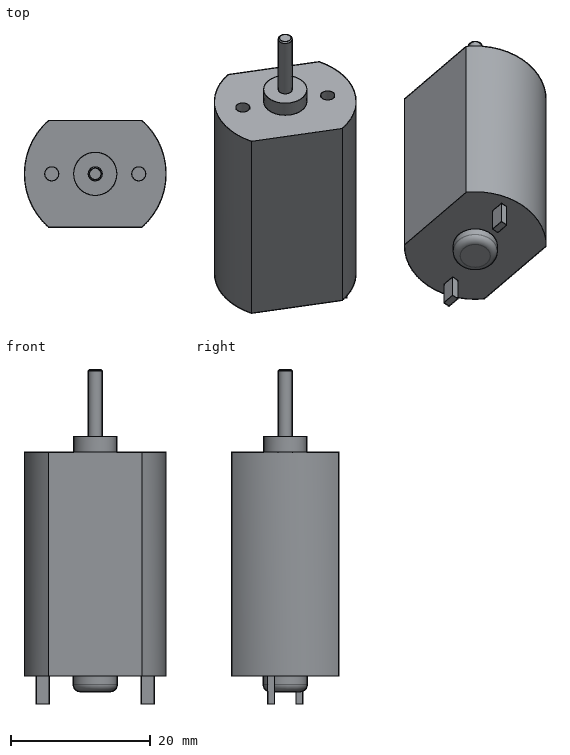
import cadquery as cq

terminal_length = 4.0
can_height = 32.0
boss_height = 2.25
total_height = 47.85
can_bottom = terminal_length
can_top = can_bottom + can_height
shaft_bottom = can_top + boss_height
shaft_length = total_height - shaft_bottom

can_diameter = 20.3
width_across_flats = 15.3

front_boss_diameter = 6.15
rear_boss_diameter = 6.3
rear_boss_fillet = 1.0

mount_hole_diameter = 2.0
mount_hole_offset = 6.2
mount_hole_depth = 2.0

shaft_diameter = 2.0
shaft_chamfer = 0.2

terminal_width = 1.9
terminal_thickness = 1.0
terminal_x = 7.5
terminal_y = 2.0


def cylinder(diameter, height, bottom):
    """Cylinder on the Z axis standing at the given height."""
    return cq.Workplane("XY").workplane(offset=bottom).circle(diameter / 2).extrude(height)


def make_housing():
    """Can with a plain front boss, a rounded rear boss and two mounting holes."""
    flats = (
        cq.Workplane("XY")
        .workplane(offset=can_bottom)
        .rect(can_diameter, width_across_flats)
        .extrude(can_height)
    )
    can = cylinder(can_diameter, can_height, can_bottom).intersect(flats)

    front_boss = cylinder(front_boss_diameter, boss_height, can_top)
    rear_boss = cylinder(rear_boss_diameter, boss_height, can_bottom - boss_height)
    rear_boss = rear_boss.faces("<Z").edges().fillet(rear_boss_fillet)

    mount_holes = (
        cq.Workplane("XY")
        .workplane(offset=can_top)
        .pushPoints([(-mount_hole_offset, 0), (mount_hole_offset, 0)])
        .circle(mount_hole_diameter / 2)
        .extrude(-mount_hole_depth)
    )
    return can.union(front_boss).union(rear_boss).cut(mount_holes)


def make_shaft():
    """Shaft standing on the front boss, chamfered at its tip."""
    shaft = cylinder(shaft_diameter, shaft_length, shaft_bottom)
    return shaft.faces(">Z").edges().chamfer(shaft_chamfer)


def make_terminal(x, y):
    """Flat terminal hanging from the rear face of the can."""
    return (
        cq.Workplane("XY")
        .center(x, y)
        .rect(terminal_width, terminal_thickness)
        .extrude(terminal_length)
    )


housing = make_housing()
shaft = make_shaft()
terminals = []
for side in (-1, 1):
    terminal = make_terminal(side * terminal_x, -side * terminal_y)
    terminals.append(terminal.val())

result = cq.Compound.makeCompound([housing.val(), shaft.val(), *terminals])